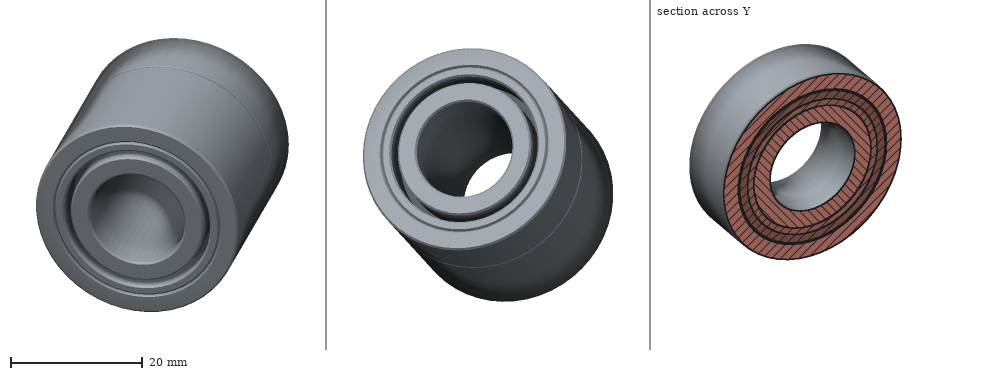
import cadquery as cq

outer_diameter = 32.0
total_length = 30.0
front_y = -total_length / 2
rear_y = total_length / 2

front_sleeve_length = 20.0
joint_y = front_y + front_sleeve_length

bore_diameter = 15.0
inner_ring_diameter = 21.0
outer_ring_bore = 23.0
sleeve_bore = 26.0

chamfer_size = 0.3
cage_recess = 6.0


def make_ring(outer, inner, start_y, end_y):
    """Plain tube around the Y axis from start_y to end_y."""
    return (
        cq.Workplane("XZ", origin=(0, end_y, 0))
        .circle(outer / 2)
        .circle(inner / 2)
        .extrude(end_y - start_y)
    )


def make_chamfered_ring(outer, inner, start_y, end_y):
    """Tube around the Y axis with all four circular rims chamfered."""
    return make_ring(outer, inner, start_y, end_y).edges("%CIRCLE").chamfer(chamfer_size)


sleeves = [
    make_chamfered_ring(outer_diameter, sleeve_bore, start_y, end_y)
    for start_y, end_y in [(front_y, joint_y), (joint_y, rear_y)]
]

outer_ring = make_chamfered_ring(sleeve_bore, outer_ring_bore, front_y, rear_y)

inner_ring = make_chamfered_ring(inner_ring_diameter, bore_diameter, front_y, rear_y)

cage = make_ring(outer_ring_bore, inner_ring_diameter, front_y + cage_recess, rear_y - cage_recess)

result = cq.Compound.makeCompound(
    [
        *[sleeve.val() for sleeve in sleeves],
        outer_ring.val(),
        inner_ring.val(),
        cage.val(),
    ]
)